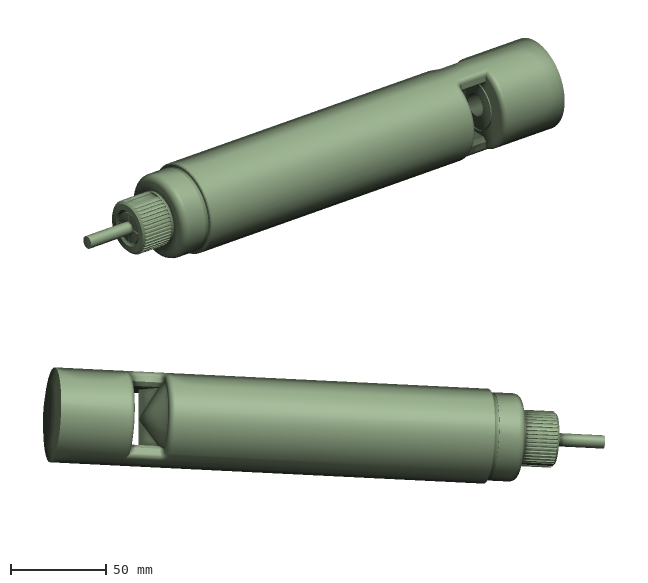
import cadquery as cq
import math

TOTAL_LENGTH = 297.12
BODY_RADIUS = 25.0

HEAD_END_DEPTH = 41.6
COLUMN_TOP_DEPTH = 59.8
COLUMN_END_DEPTH = 234.5
NECK_END_DEPTH = 251.2
GLAND_END_DEPTH = 270.8
DEFLECTOR_TIP_DEPTH = 47.8

HEAD_FACE_RADIUS = 17.0
HEAD_CROWN = 1.7
SOUND_HOLE_RADIUS = 6.4
SOUND_HOLE_DEPTH = 20.0
FACE_GROOVE_RADIUS = 13.9
FACE_GROOVE_WIDTH = 1.0
FACE_GROOVE_DEPTH = 1.0

LEG_HALF_WIDTH = 9.2
LEG_INNER_HEIGHT = 16.0
LEG_INNER_CHAMFER = 2.0
WINDOW_FILLET = 2.8
WINDOW_CORNER_RADIUS = 2.0
DEFLECTOR_RADIUS = 20.9
RIDGE_BASE_WIDTH = 14.4
RIDGE_TIP_OFFSET = 0.1

COLUMN_CHAMFER = 0.5
NECK_RADIUS = 23.25
NECK_ROOT_RADIUS = 22.9
NECK_ROOT_LENGTH = 2.2
NECK_FILLET = 4.0

GLAND_RADIUS = 14.9
GLAND_CHAMFER = 1.5
GLAND_COLLAR = 1.5
GLAND_RIM = 1.0
GLAND_FLAT_HEIGHT = 14.2
GLAND_FLAT_HALF_ANGLE = 14.0
GLAND_KEYWAY_WIDTH = 5.4
GLAND_KEYWAY_DEPTH = 0.5
KNURL_COUNT = 44
KNURL_RADIUS = 0.6
GLAND_BORE_RADIUS = 10.0
GLAND_BORE_DEPTH = 4.0
BORE_FLOOR_DEPTH = GLAND_END_DEPTH - GLAND_BORE_DEPTH
SEAL_RADIUS = 8.5
SEAL_HEIGHT = 3.0
SEAL_SLIT_WIDTH = 0.6
CABLE_RADIUS = 3.5

SELECTION_MARGIN = 1.0


def station(depth):
    """Y coordinate of a point at the given distance from the head end."""
    return TOTAL_LENGTH / 2 - depth


def rod(radius, start_depth, end_depth):
    """Cylinder on the part axis between two distances from the head end."""
    return (
        cq.Workplane("XZ", origin=(0, station(start_depth), 0))
        .circle(radius)
        .extrude(end_depth - start_depth)
    )


def slab(x_size, z_size, start_depth, end_depth, x=0, z=0):
    """Box between two distances from the head end, centred at (x, z)."""
    length = end_depth - start_depth
    middle = station((start_depth + end_depth) / 2)
    return cq.Workplane("XY").box(x_size, length, z_size).translate((x, middle, z))


def window_box(half_width, half_height):
    """Selector for edges in the sound window within the given half width and half height."""
    return cq.selectors.BoxSelector(
        (-half_width, station(COLUMN_TOP_DEPTH) - SELECTION_MARGIN, -half_height),
        (half_width, station(HEAD_END_DEPTH) + SELECTION_MARGIN, half_height),
    )


def make_blank():
    """Round bar forming the head and the column, before the window is opened."""
    return (
        cq.Workplane("XY")
        .moveTo(0, station(0))
        .lineTo(HEAD_FACE_RADIUS, station(0))
        .lineTo(BODY_RADIUS, station(HEAD_CROWN))
        .lineTo(BODY_RADIUS, station(COLUMN_END_DEPTH - COLUMN_CHAMFER))
        .lineTo(BODY_RADIUS - COLUMN_CHAMFER, station(COLUMN_END_DEPTH))
        .lineTo(0, station(COLUMN_END_DEPTH))
        .close()
        .revolve(360, (0, 0, 0), (0, 1, 0))
    )


def cut_side_windows(shell):
    """Cut a pocket on each side of the legs and round its edges."""
    side_depth = BODY_RADIUS - LEG_HALF_WIDTH
    for side in (-1, 1):
        centre = side * (LEG_HALF_WIDTH + side_depth / 2)
        shell = shell.cut(
            slab(side_depth, 2 * BODY_RADIUS, HEAD_END_DEPTH, COLUMN_TOP_DEPTH, centre)
        )
    outer_reach = BODY_RADIUS + SELECTION_MARGIN
    leg_reach = LEG_HALF_WIDTH + SELECTION_MARGIN
    column_corners = cq.selectors.BoxSelector(
        (-leg_reach, station(COLUMN_TOP_DEPTH) - SELECTION_MARGIN, -BODY_RADIUS),
        (leg_reach, station(COLUMN_TOP_DEPTH) + SELECTION_MARGIN, BODY_RADIUS),
    )
    shell = shell.edges("|Z").edges(column_corners).fillet(WINDOW_CORNER_RADIUS)
    outer_edges = window_box(outer_reach, outer_reach) - window_box(leg_reach, LEG_INNER_HEIGHT)
    return shell.edges(outer_edges).fillet(WINDOW_FILLET)


def make_leg_opening():
    """Space between the two legs, flaring at the chamfered inner edges of each leg."""
    chamfer_top = LEG_INNER_HEIGHT + LEG_INNER_CHAMFER
    opening = (
        cq.Workplane("XZ", origin=(0, station(HEAD_END_DEPTH), 0))
        .moveTo(LEG_HALF_WIDTH, chamfer_top)
        .lineTo(LEG_HALF_WIDTH - LEG_INNER_CHAMFER, LEG_INNER_HEIGHT)
        .lineTo(0, LEG_INNER_HEIGHT)
        .lineTo(0, 0)
        .lineTo(BODY_RADIUS, 0)
        .lineTo(BODY_RADIUS, chamfer_top)
        .close()
        .extrude(COLUMN_TOP_DEPTH - HEAD_END_DEPTH)
    )
    opening = opening.union(opening.mirror("YZ"))
    return opening.union(opening.mirror("XY"))


def make_head_cavity():
    """Sound hole and narrow ring groove in the underside of the head."""
    hole = rod(SOUND_HOLE_RADIUS, HEAD_END_DEPTH - SOUND_HOLE_DEPTH, HEAD_END_DEPTH)
    groove_top = HEAD_END_DEPTH - FACE_GROOVE_DEPTH
    groove = rod(FACE_GROOVE_RADIUS + FACE_GROOVE_WIDTH / 2, groove_top, HEAD_END_DEPTH).cut(
        rod(FACE_GROOVE_RADIUS - FACE_GROOVE_WIDTH / 2, groove_top, HEAD_END_DEPTH)
    )
    return hole.union(groove)


def make_deflector():
    """Cone rising from the column, crossed by a wedge-shaped ridge between the legs.

    The ridge line lies just below the cone tip, so the tip stands clear of it.
    """
    cone = (
        cq.Workplane("XY")
        .moveTo(0, station(DEFLECTOR_TIP_DEPTH))
        .lineTo(DEFLECTOR_RADIUS, station(COLUMN_TOP_DEPTH))
        .lineTo(0, station(COLUMN_TOP_DEPTH))
        .close()
        .revolve(360, (0, 0, 0), (0, 1, 0))
    )
    ridge = (
        cq.Workplane("XY")
        .moveTo(0, station(DEFLECTOR_TIP_DEPTH + RIDGE_TIP_OFFSET))
        .lineTo(RIDGE_BASE_WIDTH / 2, station(COLUMN_TOP_DEPTH))
        .lineTo(-RIDGE_BASE_WIDTH / 2, station(COLUMN_TOP_DEPTH))
        .close()
        .extrude(LEG_INNER_HEIGHT, both=True)
    )
    return cone.union(ridge)


def make_neck():
    """Stepped-down end of the column: a slightly thinner root and a collar with a rounded rim."""
    root_end = COLUMN_END_DEPTH + NECK_ROOT_LENGTH
    root = rod(NECK_ROOT_RADIUS, COLUMN_END_DEPTH, root_end)
    collar = rod(NECK_RADIUS, root_end, NECK_END_DEPTH)
    return root.union(collar.faces("<Y").edges().fillet(NECK_FILLET))


def make_gland():
    """Knurled gland nut with two keyed flats and a shallow bore."""
    gland = rod(GLAND_RADIUS, NECK_END_DEPTH, GLAND_END_DEPTH).faces("<Y").chamfer(GLAND_CHAMFER)
    grip_start = NECK_END_DEPTH + GLAND_COLLAR
    grip_end = GLAND_END_DEPTH - GLAND_RIM
    pitch = 2 * math.pi / KNURL_COUNT
    angles = [index * pitch for index in range(KNURL_COUNT)]
    flat_limit = math.sin(math.radians(GLAND_FLAT_HALF_ANGLE))
    centres = [
        (GLAND_RADIUS * math.sin(angle), GLAND_RADIUS * math.cos(angle))
        for angle in angles
        if abs(math.sin(angle)) > flat_limit
    ]
    knurls = (
        cq.Workplane("XZ", origin=(0, station(grip_start), 0))
        .pushPoints(centres)
        .circle(KNURL_RADIUS)
        .extrude(grip_end - grip_start)
    )
    gland = gland.cut(knurls)
    flat_depth = GLAND_RADIUS - GLAND_FLAT_HEIGHT
    for side in (-1, 1):
        height = side * (GLAND_FLAT_HEIGHT + flat_depth / 2)
        gland = gland.cut(
            slab(2 * GLAND_RADIUS, flat_depth, grip_start, grip_end, z=height)
        )
        keyway_height = side * (GLAND_FLAT_HEIGHT - GLAND_KEYWAY_DEPTH / 2)
        gland = gland.cut(
            slab(GLAND_KEYWAY_WIDTH, GLAND_KEYWAY_DEPTH, grip_start, grip_end, z=keyway_height)
        )
    return gland.cut(rod(GLAND_BORE_RADIUS, BORE_FLOOR_DEPTH, GLAND_END_DEPTH))


def make_seal():
    """Round seal on the floor of the gland bore, split by two crossed slits."""
    seal_end = BORE_FLOOR_DEPTH + SEAL_HEIGHT
    seal = rod(SEAL_RADIUS, BORE_FLOOR_DEPTH, seal_end)
    seal = seal.cut(slab(SEAL_SLIT_WIDTH, 2 * SEAL_RADIUS, BORE_FLOOR_DEPTH, seal_end))
    return seal.cut(slab(2 * SEAL_RADIUS, SEAL_SLIT_WIDTH, BORE_FLOOR_DEPTH, seal_end))


def make_cable():
    """Round cable leaving the gland."""
    return rod(CABLE_RADIUS, BORE_FLOOR_DEPTH, TOTAL_LENGTH)


result = (
    cut_side_windows(make_blank())
    .cut(make_leg_opening())
    .cut(make_head_cavity())
    .union(make_deflector())
    .union(make_neck())
    .union(make_gland())
    .union(make_seal())
    .union(make_cable())
)